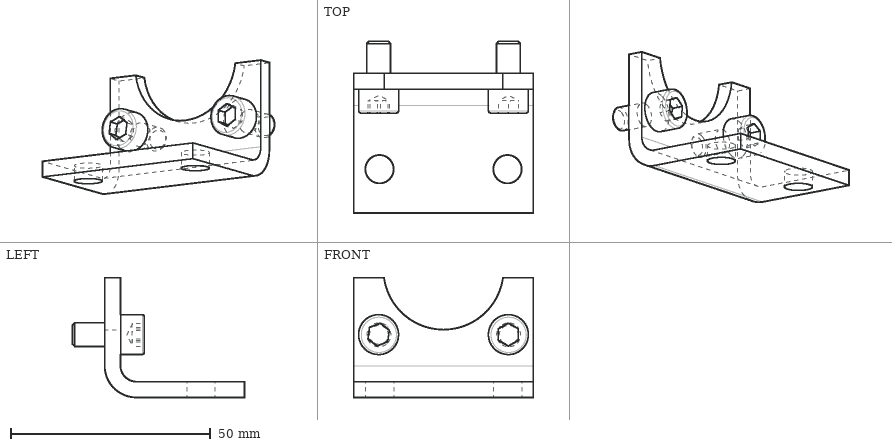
import cadquery as cq
import math

width = 45.0
depth = 35.0
height = 30.0
thickness = 4.0
inner_bend_radius = 4.0
outer_bend_radius = inner_bend_radius + thickness

cradle_radius = 15.0
cradle_centre_z = height + 2.0

base_hole_diameter = 7.0
base_hole_spacing = 32.0
base_hole_y = 11.0

screw_spacing = 32.45
screw_z = 15.75
head_diameter = 10.0
head_height = 6.0
head_rounding = 0.6
shank_diameter = 6.0
shank_projection = 8.0
shank_chamfer = 0.65
socket_across_flats = 5.0
socket_depth = 3.0
socket_tip_depth = 1.45
left_socket_turn = 8.0
right_socket_turn = 0.0
corner_up_angle = 30.0

upright_front_y = depth - thickness
head_front_y = upright_front_y - head_height
shank_end_y = depth + shank_projection


def make_bracket():
    legs = (
        cq.Workplane("YZ")
        .polyline([
            (0, 0), (depth, 0), (depth, height), (upright_front_y, height),
            (upright_front_y, thickness), (0, thickness),
        ])
        .close()
        .extrude(width / 2, both=True)
    )
    inner_corner = cq.selectors.NearestToPointSelector((0, upright_front_y, thickness))
    outer_corner = cq.selectors.NearestToPointSelector((0, depth, 0))
    legs = legs.edges(inner_corner).fillet(inner_bend_radius)
    return legs.edges(outer_corner).fillet(outer_bend_radius)


def make_cradle_cut():
    return (
        cq.Workplane("XZ", origin=(0, upright_front_y, cradle_centre_z))
        .circle(cradle_radius)
        .extrude(-thickness)
    )


def make_base_holes():
    return (
        cq.Workplane("XY")
        .pushPoints([(-base_hole_spacing / 2, base_hole_y), (base_hole_spacing / 2, base_hole_y)])
        .circle(base_hole_diameter / 2)
        .extrude(thickness)
    )


def make_socket(turn):
    """Hexagonal recess with a conical floor, opening at the origin and sinking along +Y."""
    corner_radius = socket_across_flats / math.sqrt(3)
    full_depth = socket_depth + socket_tip_depth
    hexagon = (
        cq.Workplane("XZ")
        .polygon(6, 2 * corner_radius)
        .extrude(-full_depth)
        .rotate((0, 0, 0), (0, 1, 0), corner_up_angle + turn)
    )
    pointed_rod = (
        cq.Workplane("XY")
        .polyline([(0, 0), (corner_radius, 0), (corner_radius, socket_depth), (0, full_depth)])
        .close()
        .revolve(360, (0, 0), (0, 1))
    )
    return hexagon.intersect(pointed_rod)


def make_screw(x, socket_turn):
    head = (
        cq.Workplane("XZ", origin=(x, head_front_y, screw_z))
        .circle(head_diameter / 2)
        .extrude(-head_height)
        .faces("<Y").edges().fillet(head_rounding)
    )
    shank = (
        cq.Workplane("XZ", origin=(x, upright_front_y, screw_z))
        .circle(shank_diameter / 2)
        .extrude(upright_front_y - shank_end_y)
        .faces(">Y").edges().chamfer(shank_chamfer)
    )
    socket = make_socket(socket_turn).translate((x, head_front_y, screw_z))
    return head.union(shank).cut(socket)


result = make_bracket().cut(make_cradle_cut()).cut(make_base_holes())
for side, turn in ((-1, left_socket_turn), (1, right_socket_turn)):
    result = result.union(make_screw(side * screw_spacing / 2, turn))